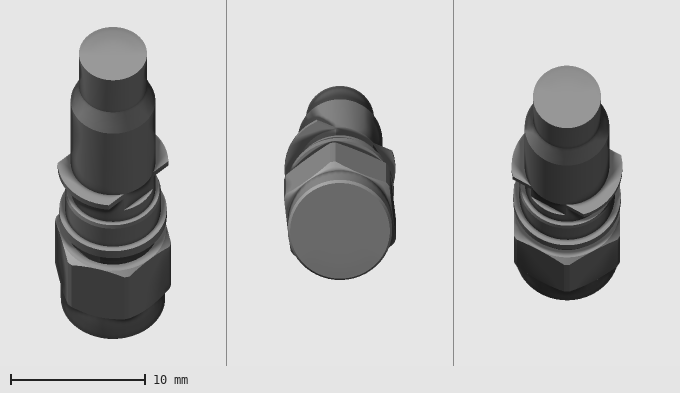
import cadquery as cq
import math

MATING_CHAMFER_TOP = 0.25
NUT_BOTTOM = 2.68
NUT_TOP = 8.45
LOWER_FLAT_TOP = 9.04
FLANGE_CONE_BOTTOM = 9.9
FLANGE_BOTTOM = 10.05
FLANGE_TOP = 10.85
COLLAR_CHAMFER_BOTTOM = 12.98
COLLAR_TOP = 13.3
UPPER_FLAT_BOTTOM = 14.55
WASHER_BOTTOM = 15.95
WASHER_TOP = 16.48
SHOULDER_BOTTOM = 23.85
SHOULDER_TOP = 25.6
TOTAL_HEIGHT = 29.43

MATING_RADIUS = 3.88
MATING_CHAMFER_WIDTH = 0.18
BODY_RADIUS = 3.15
FLANGE_CONE_RADIUS = 3.4
FLANGE_RADIUS = 4.0
COLLAR_RADIUS = 3.55
COLLAR_CHAMFER_WIDTH = 0.1
CABLE_RADIUS = 2.53

NUT_ACROSS_FLATS = 7.9
NUT_CORNER_RADIUS = 4.45
NUT_TOP_CHAMFER_HEIGHT = 0.26
NUT_BOTTOM_CHAMFER_HEIGHT = 0.5
NUT_CLEARANCE_RADIUS = 3.35
NUT_CLEARANCE_DEPTH = 0.88
NUT_CLEARANCE_FLOOR = NUT_TOP - NUT_CLEARANCE_DEPTH

HALF_ACROSS_FLATS = 2.77
WASHER_RADIUS = 4.12


def revolve_profile(points):
    """Turn an outline of (radius, height) points around Z."""
    return cq.Workplane("XZ").polyline(points).close().revolve(360, (0, 0), (0, 1))


def make_body():
    return revolve_profile([
        (0, 0),
        (MATING_RADIUS - MATING_CHAMFER_WIDTH, 0),
        (MATING_RADIUS, MATING_CHAMFER_TOP),
        (MATING_RADIUS, NUT_BOTTOM),
        (BODY_RADIUS, NUT_BOTTOM),
        (BODY_RADIUS, FLANGE_CONE_BOTTOM),
        (FLANGE_CONE_RADIUS, FLANGE_BOTTOM),
        (FLANGE_RADIUS, FLANGE_BOTTOM),
        (FLANGE_RADIUS, FLANGE_TOP),
        (COLLAR_RADIUS, FLANGE_TOP),
        (COLLAR_RADIUS, COLLAR_CHAMFER_BOTTOM),
        (COLLAR_RADIUS - COLLAR_CHAMFER_WIDTH, COLLAR_TOP),
        (BODY_RADIUS, COLLAR_TOP),
        (BODY_RADIUS, SHOULDER_BOTTOM),
        (CABLE_RADIUS, SHOULDER_TOP),
        (CABLE_RADIUS, TOTAL_HEIGHT),
        (0, TOTAL_HEIGHT),
    ])


def make_nut():
    """Hexagon with flats facing +X and -X, its corners turned and chamfered at both ends."""
    across_corners = NUT_ACROSS_FLATS / math.cos(math.pi / 6)
    hexagon = (
        cq.Workplane("XY")
        .polygon(6, across_corners)
        .extrude(NUT_TOP - NUT_BOTTOM)
        .rotate((0, 0, 0), (0, 0, 1), 30)
        .translate((0, 0, NUT_BOTTOM))
    )
    turned_envelope = revolve_profile([
        (0, NUT_BOTTOM),
        (MATING_RADIUS, NUT_BOTTOM),
        (NUT_CORNER_RADIUS, NUT_BOTTOM + NUT_BOTTOM_CHAMFER_HEIGHT),
        (NUT_CORNER_RADIUS, NUT_TOP - NUT_TOP_CHAMFER_HEIGHT),
        (NUT_ACROSS_FLATS / 2, NUT_TOP),
        (0, NUT_TOP),
    ])
    clearance = (
        cq.Workplane("XY", origin=(0, 0, NUT_CLEARANCE_FLOOR))
        .circle(NUT_CLEARANCE_RADIUS)
        .extrude(NUT_TOP - NUT_CLEARANCE_FLOOR)
    )
    return hexagon.intersect(turned_envelope).cut(clearance)


def make_flat_cutters(bottom, top, turn):
    """Two blocks outside a pair of opposite flats; turn 0 gives flats on X, 90 on Y."""
    depth = FLANGE_RADIUS - HALF_ACROSS_FLATS
    center = HALF_ACROSS_FLATS + depth / 2
    return (
        cq.Workplane("XY", origin=(0, 0, bottom))
        .pushPoints([(-center, 0), (center, 0)])
        .rect(depth, 2 * FLANGE_RADIUS)
        .extrude(top - bottom)
        .rotate((0, 0, 0), (0, 0, 1), turn)
    )


def make_washer():
    """Disc trimmed to the width of the upper flats."""
    thickness = WASHER_TOP - WASHER_BOTTOM
    disc = cq.Workplane("XY", origin=(0, 0, WASHER_BOTTOM)).circle(WASHER_RADIUS).extrude(thickness)
    strip = (
        cq.Workplane("XY", origin=(0, 0, WASHER_BOTTOM))
        .rect(2 * HALF_ACROSS_FLATS, 2 * WASHER_RADIUS)
        .extrude(thickness)
    )
    return disc.intersect(strip)


lower_flats = make_flat_cutters(NUT_CLEARANCE_FLOOR, LOWER_FLAT_TOP, 90)
upper_flats = make_flat_cutters(UPPER_FLAT_BOTTOM, WASHER_TOP, 0)
body = make_body().cut(lower_flats).cut(upper_flats)
result = body.union(make_nut()).union(make_washer())